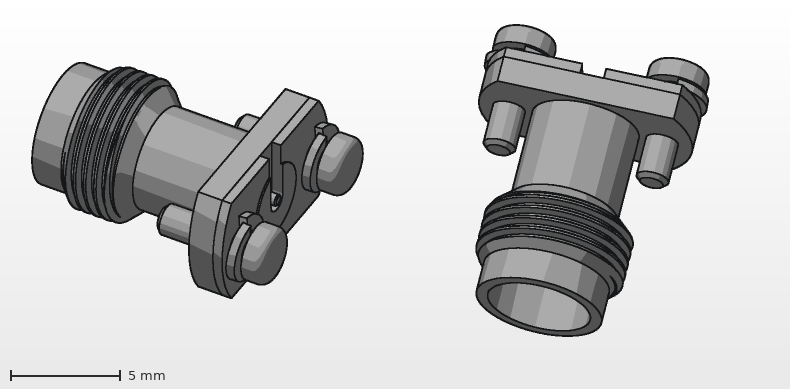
import cadquery as cq
import math


rim_diameter = 5.88
rim_length = 1.51
thread_diameter = 6.9
thread_root_diameter = 6.3
thread_four_pitches = 2.12
thread_pitch = thread_four_pitches / 4
thread_flank_angle = 26.0
thread_root_width = 0.12
first_groove_x = 2.09
barrel_diameter = 5.0
barrel_start_x = 4.99
bore_diameter = 4.81
bore_depth = 3.0

flange_start_x = 9.28
split_x = 10.53
flange_end_x = 11.01
flange_length = 10.0
flange_height = 5.67

pin_diameter = 0.56
pin_end_x = 11.18
pin_chamfer = 0.06
slot_width = 1.1
boss_diameter = 3.64
boss_end_x = 11.1

screw_offset = 3.58
shank_diameter = 1.51
tip_x = 7.16
tip_chamfer = 0.21
head_diameter = 2.81
head_start_x = 11.97
head_end_x = 13.0
head_fillet = 0.4

washer_outer_diameter = 3.18
washer_inner_diameter = 1.61
washer_thickness = 0.42
washer_rise = 0.3
washer_lean_angle = 7.0
washer_gap_angle = 12.0

screw_places = [-screw_offset, screw_offset]


def cylinder_along_x(diameter, start_x, end_x, y=0):
    """Round bar parallel to X, at the given Y."""
    return (
        cq.Workplane("YZ", origin=(start_x, y, 0))
        .circle(diameter / 2)
        .extrude(end_x - start_x)
    )


def flange_layer(start_x, end_x):
    """Disc with two flats and a through hole for each screw."""
    disc = cylinder_along_x(flange_length, start_x, end_x)
    thickness = end_x - start_x
    flats = cq.Workplane("YZ", origin=(start_x, 0, 0)).rect(flange_length, flange_height).extrude(thickness)
    layer = disc.intersect(flats)
    for y in screw_places:
        layer = layer.cut(cylinder_along_x(shank_diameter, start_x, end_x, y))
    return layer


def barrel_envelope():
    """Barrel turned to its outline: rim, thread land between two 45 degree cones, and rear tube."""
    rim_radius = rim_diameter / 2
    thread_radius = thread_diameter / 2
    barrel_radius = barrel_diameter / 2
    return (
        cq.Workplane("XY")
        .lineTo(0, rim_radius)
        .lineTo(rim_length, rim_radius)
        .lineTo(rim_length + thread_radius - rim_radius, thread_radius)
        .lineTo(barrel_start_x - thread_radius + barrel_radius, thread_radius)
        .lineTo(barrel_start_x, barrel_radius)
        .lineTo(flange_start_x, barrel_radius)
        .lineTo(flange_start_x, 0)
        .close()
        .revolve(360, (0, 0, 0), (1, 0, 0))
    )


def thread_groove():
    """Right-handed V groove with a flat root, running out through both cones."""
    turns_before = 1
    turns = 7
    start_x = first_groove_x - turns_before * thread_pitch
    root_radius = thread_root_diameter / 2
    overshoot = 0.04
    outer_radius = thread_diameter / 2 + overshoot
    root_half = thread_root_width / 2
    outer_half = root_half + (outer_radius - root_radius) * math.tan(math.radians(thread_flank_angle))
    helix = cq.Wire.makeHelix(thread_pitch, turns * thread_pitch, root_radius)
    groove = (
        cq.Workplane("XZ")
        .moveTo(root_radius, -root_half)
        .lineTo(outer_radius, -outer_half)
        .lineTo(outer_radius, outer_half)
        .lineTo(root_radius, root_half)
        .close()
        .sweep(cq.Workplane(helix), isFrenet=True)
    )
    return lay_along_x(groove, start_x)


def lay_along_x(shape, start_x, y=0):
    """Turn a shape built on the Z axis so Z becomes +X and its +X side faces +Z."""
    upright = shape.rotate((0, 0, 0), (0, 0, 1), 180)
    return upright.rotate((0, 0, 0), (0, 1, 0), 90).translate((start_x, y, 0))


def make_housing():
    """Threaded barrel with a blind bore, the front flange layer and the contact pin."""
    pin = cylinder_along_x(pin_diameter, split_x, pin_end_x).faces(">X").chamfer(pin_chamfer)
    return (
        cylinder_along_x(thread_diameter, 0, flange_start_x)
        .cut(thread_groove())
        .intersect(barrel_envelope())
        .cut(cylinder_along_x(bore_diameter, 0, bore_depth))
        .union(flange_layer(flange_start_x, split_x))
        .union(pin)
    )


def make_back_plate():
    """Rear flange layer with a raised ground boss and a round-bottomed slot open at the top."""
    slot_top = flange_height / 2
    slot_depth = boss_end_x - split_x
    slot = (
        cq.Workplane("YZ", origin=(split_x, 0, slot_top / 2))
        .rect(slot_width, slot_top)
        .extrude(slot_depth)
        .union(cylinder_along_x(slot_width, split_x, boss_end_x))
    )
    return (
        flange_layer(split_x, flange_end_x)
        .union(cylinder_along_x(boss_diameter, flange_end_x, boss_end_x))
        .cut(slot)
    )


def make_screw(y):
    """Pan head screw pointing toward -X."""
    shank = cylinder_along_x(shank_diameter, tip_x, head_start_x, y).faces("<X").chamfer(tip_chamfer)
    head = cylinder_along_x(head_diameter, head_start_x, head_end_x, y).faces(">X").edges().fillet(head_fillet)
    return shank.union(head)


def make_lock_washer(y):
    """One left-handed coil of rectangular wire, with its gap at the top and its low end on the back plate.

    The wire leans one way at its low end, lies flat half way round and leans the other way at its high end.
    """
    wire_width = (washer_outer_diameter - washer_inner_diameter) / 2
    mean_radius = (washer_outer_diameter + washer_inner_diameter) / 4
    lean = math.radians(washer_lean_angle)
    lowest_corner = (wire_width * math.sin(lean) + washer_thickness * math.cos(lean)) / 2
    sweep_fraction = 1 - washer_gap_angle / 360
    helix = cq.Wire.makeHelix(washer_rise / sweep_fraction, washer_rise, mean_radius, lefthand=True)
    coil = (
        cq.Workplane("XZ", origin=(mean_radius, 0, 0))
        .transformed(rotate=(0, 0, -washer_lean_angle))
        .rect(wire_width, washer_thickness)
        .sweep(cq.Workplane(helix))
    )
    centred = coil.rotate((0, 0, 0), (0, 0, 1), -washer_gap_angle / 2)
    return lay_along_x(centred, flange_end_x + lowest_corner, y)


housing = make_housing()
back_plate = make_back_plate()
screws = [make_screw(y) for y in screw_places]
lock_washers = [make_lock_washer(y) for y in screw_places]

result = cq.Compound.makeCompound(
    [housing.val(), back_plate.val()]
    + [screw.val() for screw in screws]
    + [washer.val() for washer in lock_washers]
)